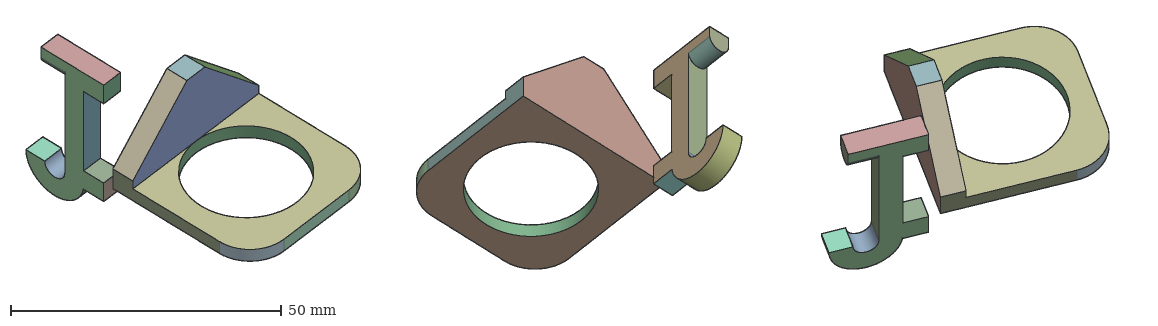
import cadquery as cq
import math

plate_side = 35.0
plate_thickness = 3.0
corner_radius = 8.5
hole_diameter = 25.0
wall_thickness = (plate_side - hole_diameter) / 2
wall_height = 20.0
wall_shoulder_height = 5.0
wall_top_width = 5.0

bar = 4.7
hook_height = 35.4
curl_inner_radius = 2.5
curl_outer_radius = curl_inner_radius + bar
tongue_length = 5.95
tongue_round_depth = 2.05
lug_length = 5.0
foot_top = 10.7

overall_length = 56.6
bracket_left = overall_length - plate_side
bracket_base = foot_top
stem_right = 2 * curl_outer_radius
stem_left = stem_right - bar
lug_right = stem_right + lug_length
head_bottom = hook_height - bar


def make_plate():
    """Plate with rounded +X corners and a large central through hole."""
    return (
        cq.Workplane("XY")
        .box(plate_side, plate_side, plate_thickness, centered=False)
        .edges("|Z and >X")
        .fillet(corner_radius)
        .faces(">Z")
        .workplane(origin=(plate_side / 2, plate_side / 2, 0))
        .hole(hole_diameter)
    )


def make_wall():
    """Upright wall whose sloping sides narrow to a short flat top."""
    top_start = (plate_side - wall_top_width) / 2
    return (
        cq.Workplane("YZ")
        .polyline([
            (0, 0),
            (plate_side, 0),
            (plate_side, wall_shoulder_height),
            (top_start + wall_top_width, wall_height),
            (top_start, wall_height),
            (0, wall_shoulder_height),
        ])
        .close()
        .extrude(wall_thickness)
    )


def make_bracket():
    """Plate and wall joined as one body."""
    return make_plate().union(make_wall()).translate((bracket_left, 0, bracket_base))


def make_hook_profile():
    """Stem, head lug, foot and curl, extruded through the bar width."""
    foot_bottom = foot_top - bar
    foot_drop = curl_outer_radius - foot_bottom
    foot_start = curl_outer_radius + math.sqrt(curl_outer_radius**2 - foot_drop**2)
    return (
        cq.Workplane("XZ")
        .moveTo(0, curl_outer_radius)
        .lineTo(bar, curl_outer_radius)
        .threePointArc((curl_outer_radius, bar), (stem_left, curl_outer_radius))
        .lineTo(stem_left, hook_height)
        .lineTo(lug_right, hook_height)
        .lineTo(lug_right, head_bottom)
        .lineTo(stem_right, head_bottom)
        .lineTo(stem_right, foot_top)
        .lineTo(lug_right, foot_top)
        .lineTo(lug_right, foot_bottom)
        .lineTo(foot_start, foot_bottom)
        .threePointArc((curl_outer_radius, 0), (0, curl_outer_radius))
        .close()
        .extrude(-bar)
    )


def make_tongue():
    """Bar reaching -X from the head, with a rounded underside."""
    round_start = head_bottom + tongue_round_depth
    return (
        cq.Workplane("YZ", origin=(stem_left - tongue_length, 0, 0))
        .moveTo(0, hook_height)
        .lineTo(0, round_start)
        .threePointArc((bar / 2, head_bottom), (bar, round_start))
        .lineTo(bar, hook_height)
        .close()
        .extrude(tongue_length)
    )


def make_hook():
    """Hook profile and tongue joined as one body."""
    return make_hook_profile().union(make_tongue())


bracket = make_bracket()
hook = make_hook()

result = cq.Compound.makeCompound([bracket.solids().val(), hook.solids().val()])